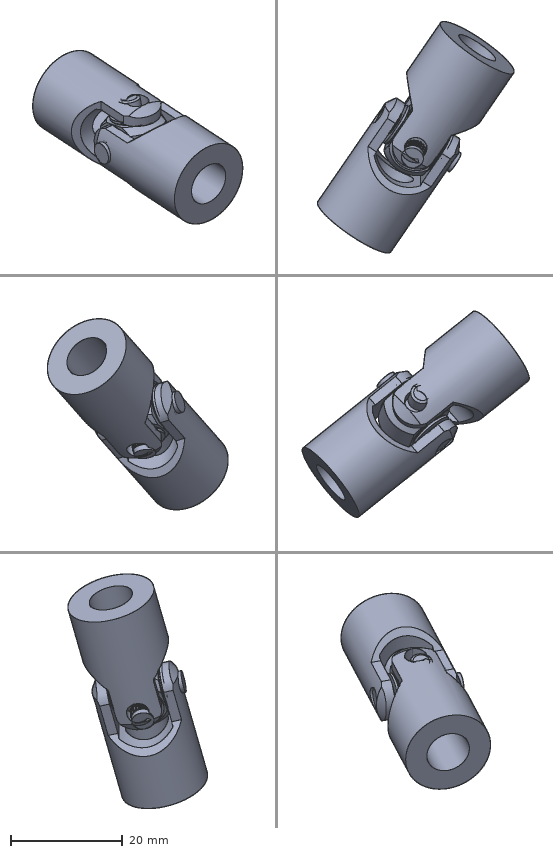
import cadquery as cq
import math


body_radius = 8.0
joint_half_length = 20.0
bore_radius = 4.0
fork_half_gap = 5.0
fork_half_width = 4.2
shoulder_start = -9.07
fork_floor = -7.9
fork_floor_radius = 7.5
tip_reach = 4.07
tip_rounding_start = 1.0
tip_cone_start = 2.0
tip_cone_angle = 30.0
cone_end = 5.0

block_radius = 6.0
block_half_height = 4.2
block_chamfer = 1.3
boss_radius = 3.75
boss_height = 0.25
cross_tilt = -13.5
cross_offset = -0.5

washer_radius = 4.0
washer_thickness = 0.5
washer_inner_face = block_half_height + boss_height
washer_outer_face = washer_inner_face + washer_thickness

pin_radius = 2.0
pin_half_span = 8.0
lead_in_width = 0.5
lead_in_length = 0.25
tooth_count = 20
tooth_crest_radius = 2.15
tooth_foot_angle = 7.0
tooth_crest_angle = 2.5
knurl_end = 7.0


def y_cylinder(radius, half_length):
    """Cylinder about the Y axis, centred on the origin."""
    return cq.Workplane("XZ").circle(radius).extrude(half_length, both=True)


def yoke_blank():
    """Turned body with a coned free end, drilled along its axis."""
    cone_drop = (cone_end - tip_cone_start) * math.tan(math.radians(tip_cone_angle))
    blank = (
        cq.Workplane("XY")
        .moveTo(-joint_half_length, 0)
        .lineTo(-joint_half_length, body_radius)
        .lineTo(tip_cone_start, body_radius)
        .lineTo(cone_end, body_radius - cone_drop)
        .lineTo(cone_end, 0)
        .close()
        .revolve(360, (0, 0, 0), (1, 0, 0))
    )
    bore = (
        cq.Workplane("YZ", origin=(-joint_half_length, 0, 0))
        .circle(bore_radius)
        .extrude(joint_half_length)
    )
    return blank.cut(bore)


def fork_outline():
    """Full body, 45 degree shoulders, then a narrower fork with a rounded tip."""
    shoulder_end = shoulder_start + body_radius - fork_half_width
    return (
        cq.Workplane("XY")
        .moveTo(-joint_half_length, -body_radius)
        .lineTo(shoulder_start, -body_radius)
        .lineTo(shoulder_end, -fork_half_width)
        .lineTo(tip_rounding_start, -fork_half_width)
        .threePointArc((tip_reach, 0), (tip_rounding_start, fork_half_width))
        .lineTo(shoulder_end, fork_half_width)
        .lineTo(shoulder_start, body_radius)
        .lineTo(-joint_half_length, body_radius)
        .close()
        .extrude(body_radius, both=True)
    )


def fork_gap():
    """Gap between the arms, open along Y, with a rounded floor."""
    floor_centre = fork_floor + fork_floor_radius
    floor_end = floor_centre - math.sqrt(fork_floor_radius**2 - fork_half_gap**2)
    return (
        cq.Workplane("XZ")
        .moveTo(tip_reach, -fork_half_gap)
        .lineTo(floor_end, -fork_half_gap)
        .threePointArc((fork_floor, 0), (floor_end, fork_half_gap))
        .lineTo(tip_reach, fork_half_gap)
        .close()
        .extrude(body_radius, both=True)
    )


def make_yoke():
    """Yoke on the -X side, with its arms above and below the joint centre."""
    pin_hole = cq.Workplane("XY").circle(pin_radius).extrude(body_radius, both=True)
    return yoke_blank().intersect(fork_outline()).cut(fork_gap()).cut(pin_hole)


def place_cross_part(part):
    """Move a cross part from the cross's own axes to its place in the joint."""
    return part.rotate((0, 0, 0), (0, 1, 0), cross_tilt).translate((0, cross_offset, 0))


def on_each_y_side(part):
    """Turn a part built along +Z toward -Y and toward +Y."""
    return [part.rotate((0, 0, 0), (1, 0, 0), angle) for angle in (90, -90)]


def make_block():
    """Chamfered drum with two side flats and a low boss under each washer."""
    drum = (
        cq.Workplane("XY")
        .circle(block_radius)
        .extrude(block_half_height, both=True)
        .faces("|Z")
        .chamfer(block_chamfer)
    )
    slab_size = 2 * block_radius
    slab = cq.Workplane("XY").box(slab_size, 2 * block_half_height, slab_size)
    z_bosses = cq.Workplane("XY").circle(boss_radius).extrude(washer_inner_face, both=True)
    y_bosses = y_cylinder(boss_radius, washer_inner_face)
    z_hole = cq.Workplane("XY").circle(pin_radius).extrude(washer_inner_face, both=True)
    y_hole = y_cylinder(pin_radius, washer_inner_face)
    solid_block = drum.intersect(slab).union(z_bosses).union(y_bosses)
    return solid_block.cut(z_hole).cut(y_hole)


def make_washer():
    return (
        cq.Workplane("XY", origin=(0, 0, washer_inner_face))
        .circle(washer_radius)
        .circle(pin_radius)
        .extrude(washer_thickness)
    )


def make_knurl():
    """Toothed band just outside the washer, for gripping the yoke arm."""
    pitch = 2 * math.pi / tooth_count
    half_foot = math.radians(tooth_foot_angle)
    half_crest = math.radians(tooth_crest_angle)

    def at(radius, angle):
        return (radius * math.cos(angle), radius * math.sin(angle))

    outline = (
        cq.Workplane("XY", origin=(0, 0, washer_outer_face))
        .moveTo(*at(pin_radius, -half_foot))
    )
    for tooth in range(tooth_count):
        middle = tooth * pitch
        outline = (
            outline
            .lineTo(*at(tooth_crest_radius, middle - half_crest))
            .lineTo(*at(tooth_crest_radius, middle + half_crest))
            .lineTo(*at(pin_radius, middle + half_foot))
            .threePointArc(
                at(pin_radius, middle + pitch / 2),
                at(pin_radius, middle + pitch - half_foot),
            )
        )
    return outline.close().extrude(knurl_end - washer_outer_face)


def make_long_pin():
    """Pin through the whole cross, knurled below and with a lead-in at the top."""
    shank = (
        cq.Workplane("XY")
        .circle(pin_radius)
        .extrude(pin_half_span, both=True)
        .faces(">Z")
        .chamfer(lead_in_length, lead_in_width)
    )
    return shank.union(make_knurl().rotate((0, 0, 0), (1, 0, 0), 180))


def make_short_pin():
    """Knurled pin from the side of the long pin out to the yoke arm."""
    shank = (
        cq.Workplane("XY", origin=(0, 0, pin_radius))
        .circle(pin_radius)
        .extrude(pin_half_span - pin_radius)
    )
    return shank.union(make_knurl())


def relieve(yoke, parts):
    """Cut the given parts out of a yoke, so that they sit in matching recesses."""
    for part in parts:
        yoke = yoke.cut(part, clean=False)
    return yoke


washer = make_washer()
washer_below = washer.mirror("XY")
washers = [washer, washer_below, *on_each_y_side(washer)]
long_pin = make_long_pin()
short_pins = on_each_y_side(make_short_pin())

block = make_block()

block = place_cross_part(block)
washers = [place_cross_part(part) for part in washers]
long_pin = place_cross_part(long_pin)
short_pins = [place_cross_part(part) for part in short_pins]

right_yoke = make_yoke().rotate((0, 0, 0), (0, 0, 1), 180).rotate((0, 0, 0), (1, 0, 0), 90)
left_yoke = relieve(make_yoke(), [block, *washers, long_pin])
right_yoke = relieve(right_yoke, [*washers, *short_pins])

bodies = [left_yoke, right_yoke, block, long_pin, *washers, *short_pins]
result = cq.Compound.makeCompound([solid for body in bodies for solid in body.solids().vals()])